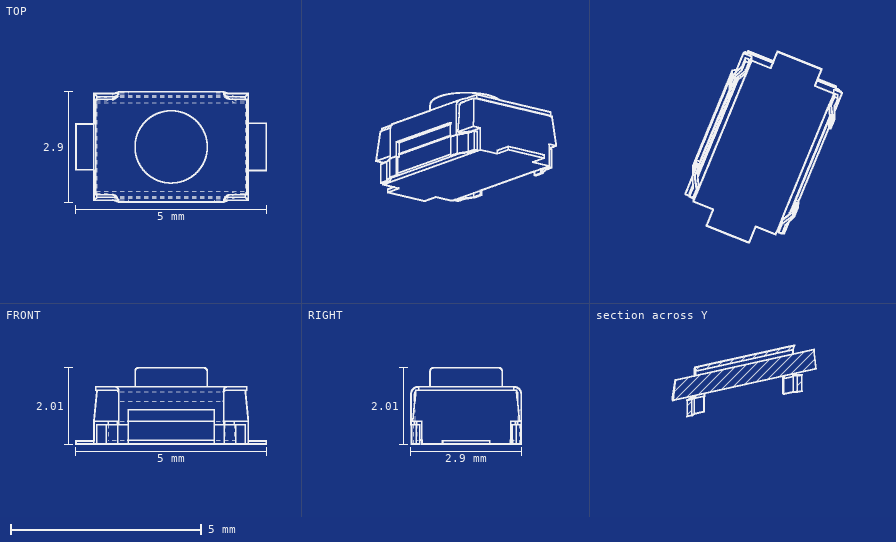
import cadquery as cq
import math

total_length = 5.0
total_width = 2.9
total_height = 2.01

button_diameter = 1.9
button_height = 0.5
button_edge_radius = 0.1

sheet = 0.1
bend_radius = 0.2
corner_radius = 0.2
cover_length = 3.97
cover_top = total_height - button_height
flange_length = 2.76
flange_bottom = 0.515
window_length = 2.255
window_top = 0.905

path_steps = 8
cut_margin = 0.05

leg_outer_y = 1.44
leg_thickness = 0.05
leg_end_outer_y = 1.31
leg_end_inner_y = 1.215
leg_crank_start_x = 1.4
leg_crank_end_x = 1.7
leg_end_x = 1.95

housing_length = 4.06
housing_width = 2.805
housing_taper = 5.7
housing_bottom = 0.6
housing_top = cover_top - sheet

base_length = housing_length
base_end_width = 2.33
base_middle_width = 2.6
base_middle_length = 2.82
base_shoulder_length = 3.31
base_step_height = 0.105

terminal_thickness = 0.09
left_terminal_width = 1.205
right_terminal_width = 1.25


def block(length, width, bottom, top):
    """Box centred on the Z axis between two heights."""
    return cq.Workplane("XY").workplane(offset=bottom).rect(length, width).extrude(top - bottom)


def make_base():
    slab = block(base_length, base_end_width, 0, housing_bottom)
    middle = (
        cq.Workplane("XY")
        .workplane(offset=base_step_height)
        .moveTo(-base_shoulder_length / 2, base_end_width / 2)
        .lineTo(-base_middle_length / 2, base_middle_width / 2)
        .lineTo(base_middle_length / 2, base_middle_width / 2)
        .lineTo(base_shoulder_length / 2, base_end_width / 2)
        .lineTo(base_shoulder_length / 2, 0)
        .lineTo(-base_shoulder_length / 2, 0)
        .close()
        .extrude(housing_bottom - base_step_height)
    )
    return slab.union(middle).union(middle.mirror("XZ"))


def make_housing():
    tapered = (
        cq.Workplane("XY")
        .workplane(offset=housing_bottom)
        .rect(housing_length, housing_width)
        .extrude(housing_top - housing_bottom, taper=housing_taper)
    )
    height = housing_top - housing_bottom
    beside_flange = cq.Workplane("XY").box(flange_length, sheet, height, centered=(True, True, False))
    center_y = (total_width - sheet) / 2
    for side in (-1, 1):
        tapered = tapered.cut(beside_flange.translate((0, side * center_y, housing_bottom)))
    return tapered


def bend_side_cutter(path):
    """Solid that removes the bend beyond a path of (x, bend angle) places."""
    axis_y = total_width / 2 - bend_radius
    axis_z = cover_top - bend_radius

    def wrapped_edge(radius):
        return cq.Edge.makeSpline(
            [
                cq.Vector(x, axis_y + radius * math.sin(angle), axis_z + radius * math.cos(angle))
                for x, angle in path
            ]
        )

    inner_edge = wrapped_edge(bend_radius - sheet - cut_margin)
    outer_edge = wrapped_edge(bend_radius + cut_margin)
    side_face = cq.Face.makeRuledSurface(inner_edge, outer_edge)
    return cq.Workplane(cq.Solid.extrudeLinear(side_face, cq.Vector(cover_length / 2, 0, 0)))


def corner_cutters():
    """Rounded corner between plate and flange, wrapped around the bend, then the straight side."""
    flange_x = flange_length / 2
    round_end_angle = corner_radius / bend_radius
    round_path = []
    straight_path = []
    for step in range(path_steps + 1):
        turn = math.pi / 2 * step / path_steps
        round_x = flange_x + corner_radius * (1 - math.sin(turn))
        round_path.append((round_x, round_end_angle * (1 - math.cos(turn))))
        straight_angle = round_end_angle + (math.pi / 2 - round_end_angle) * step / path_steps
        straight_path.append((flange_x, straight_angle))
    return bend_side_cutter(round_path), bend_side_cutter(straight_path)


def make_cover():
    outside = block(cover_length, total_width, flange_bottom, cover_top)
    outside = outside.edges("|X and >Z").fillet(bend_radius)
    inside = block(cover_length, total_width - 2 * sheet, flange_bottom, housing_top)
    inside = inside.edges("|X and >Z").fillet(bend_radius - sheet)
    cover = outside.cut(inside)

    bend_bottom = cover_top - bend_radius
    beside_flanges = block(cover_length, total_width, flange_bottom, bend_bottom).cut(
        block(flange_length, total_width, flange_bottom, bend_bottom)
    )
    cover = cover.cut(beside_flanges)
    for cutter in corner_cutters():
        pair = cutter.union(cutter.mirror("XZ"))
        cover = cover.cut(pair).cut(pair.mirror("YZ"))

    return cover.cut(block(window_length, total_width, flange_bottom, window_top))


def make_legs():
    leg = (
        cq.Workplane("XY")
        .moveTo(window_length / 2, leg_outer_y)
        .lineTo(leg_crank_start_x, leg_outer_y)
        .lineTo(leg_crank_end_x, leg_end_outer_y)
        .lineTo(leg_end_x, leg_end_outer_y)
        .lineTo(leg_end_x, leg_end_inner_y)
        .lineTo(leg_crank_end_x, leg_end_inner_y)
        .lineTo(leg_crank_start_x, leg_outer_y - leg_thickness)
        .lineTo(window_length / 2, leg_outer_y - leg_thickness)
        .close()
        .extrude(flange_bottom)
    )
    pair = leg.union(leg.mirror("YZ"))
    return pair.union(pair.mirror("XZ"))


def make_terminal(side, width):
    length = total_length / 2
    terminal = cq.Workplane("XY").box(length, width, terminal_thickness, centered=(True, True, False))
    return terminal.translate((side * length / 2, 0, 0))


def make_button():
    return (
        cq.Workplane("XY")
        .workplane(offset=cover_top)
        .circle(button_diameter / 2)
        .extrude(button_height)
        .faces(">Z")
        .edges()
        .fillet(button_edge_radius)
    )


result = (
    make_base()
    .union(make_housing())
    .union(make_cover())
    .union(make_legs())
    .union(make_terminal(-1, left_terminal_width))
    .union(make_terminal(1, right_terminal_width))
    .union(make_button())
)